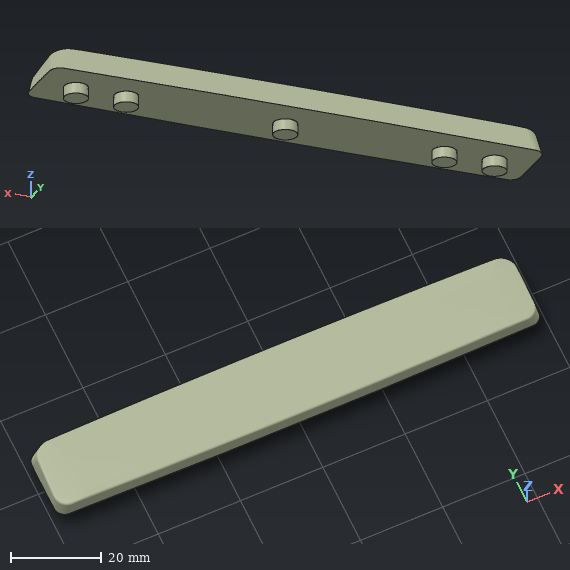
import cadquery as cq
import math

length = 117.9
width = 18.0
side_bow = 0.6
end_bow = 0.1
base_corner_radius = 2.6

wall_draft = 8.0
top_corner_radius = 4.5
back_height = 5.9
top_slope = 9.0
top_edge_radius = 0.6
end_curve_length = 7.8
end_drop = 0.5

pin_diameter = 5.5
pin_length = 2.6
inner_pin_offset = 38.1
outer_pin_offset = 50.1

trim_allowance = 1.2
block_height = back_height + trim_allowance
back_edge_y = width / 2 - back_height * math.tan(math.radians(wall_draft))
trim_depth = 4 * width
trim_height = 2 * block_height


def cap_outline(height, inset, corner_radius):
    """Four gently bulging sides with rounded corners, as a closed wire at the given height."""
    middle_x = length / 2 - inset
    middle_y = width / 2 - inset
    corner_x = middle_x - end_bow
    corner_y = middle_y - side_bow
    sharp_outline = (
        cq.Workplane("XY", origin=(0, 0, height))
        .moveTo(-corner_x, -corner_y)
        .threePointArc((0, -middle_y), (corner_x, -corner_y))
        .threePointArc((middle_x, 0), (corner_x, corner_y))
        .threePointArc((0, middle_y), (-corner_x, corner_y))
        .threePointArc((-middle_x, 0), (-corner_x, -corner_y))
        .close()
        .val()
    )
    return sharp_outline.fillet2D(corner_radius, sharp_outline.Vertices())


def drafted_block():
    """Solid block whose walls lean inwards from the base."""
    inset = block_height * math.tan(math.radians(wall_draft))
    base = cap_outline(0, 0, base_corner_radius)
    upper = cap_outline(block_height, inset, top_corner_radius)
    return cq.Workplane(cq.Solid.makeLoft([base, upper], True))


def above_sloping_top():
    """Everything above the tilted top surface, which is flat along X and curves down at both ends."""
    end_x = length / 2
    flat_x = end_x - end_curve_length
    end_slope = 2 * end_drop / end_curve_length
    crown_points = [(-end_x, -end_drop), (-flat_x, 0), (flat_x, 0), (end_x, -end_drop)]
    crown_tangents = [(1, end_slope), (1, 0), (1, 0), (1, -end_slope)]
    return (
        cq.Workplane("XZ", origin=(0, trim_depth / 2, 0))
        .moveTo(*crown_points[0])
        .spline(crown_points[1:], tangents=crown_tangents, includeCurrent=True)
        .lineTo(end_x, trim_height)
        .lineTo(-end_x, trim_height)
        .close()
        .extrude(trim_depth)
        .rotate((0, 0, 0), (1, 0, 0), top_slope)
        .translate((0, back_edge_y, back_height))
    )


def cap_body():
    """Drafted block with a sloping top and a rounded top rim."""
    trimmed = drafted_block().cut(above_sloping_top())
    return trimmed.edges("not (%LINE or <Z)").fillet(top_edge_radius)


def pins():
    """Row of five pins along the centre line, below the base."""
    offsets = [-outer_pin_offset, -inner_pin_offset, 0, inner_pin_offset, outer_pin_offset]
    return (
        cq.Workplane("XY")
        .pushPoints([(x, 0) for x in offsets])
        .circle(pin_diameter / 2)
        .extrude(-pin_length)
    )


result = cap_body().union(pins())